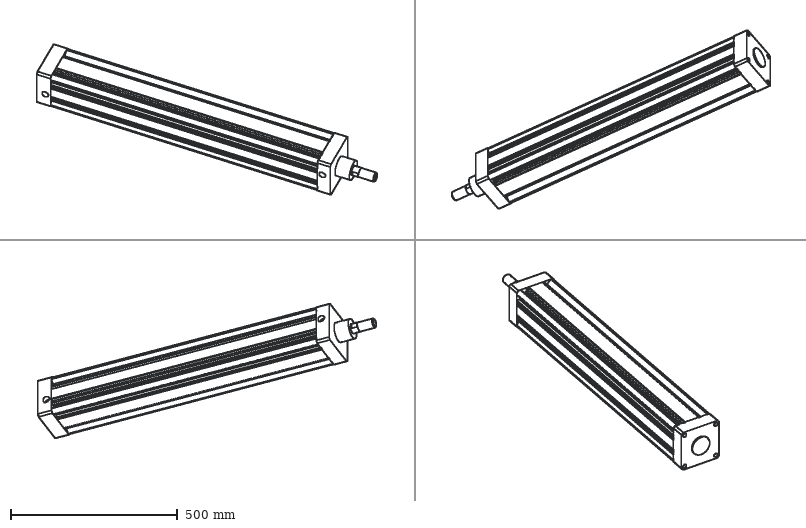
import cadquery as cq


TOTAL_LENGTH = 1085.0
REAR_CAP_START = 4.0
BARREL_START = 50.0
BARREL_END = 922.0
FRONT_CAP_END = 965.0
COLLAR_END = 1011.0
FLATS_START = 1016.0
FLATS_END = 1032.0
THREAD_START = 1034.0

WIDTH = 135.0
HALF_WIDTH = WIDTH / 2
CAP_CORNER_CHAMFER = 7.0
BOSS_DIAMETER = 62.0
BOLT_HOLE_OFFSET = 55.0
BOLT_HOLE_DIAMETER = 12.0
BOLT_HOLE_DEPTH = 11.0
PORT_DIAMETER = 21.0
PORT_DEPTH = 16.0
PORT_HEIGHT = 15.0
REAR_PORT_X = 33.0
FRONT_PORT_X = 939.0

CORNER_RADIUS = 13.0
TOP_GROOVE_DEPTH = 15.0
SIDE_GROOVE_DEPTH = 13.0
GROOVE_FLOOR_WIDTH = 3.0
INNER_FLANK_SIZE = 3.0
SIDE_SLOT_CENTER = 23.0
SIDE_SLOT_WIDTH = 11.0
SLOT_DEPTH = 1.6
STEP_DEPTH = 3.0
TOP_PANEL_HALF_WIDTH = 25.0

ROD_DIAMETER = 30.0
FLATS_WIDTH = 26.0
THREAD_DIAMETER = 29.0
TIP_CHAMFER = 3.0


def x_cylinder(diameter, start, end):
    """Cylinder on the X axis between two stations."""
    return cq.Workplane("YZ", origin=(start, 0, 0)).circle(diameter / 2).extrude(end - start)


def cap_block(start, end):
    """Square cap with chamfered long edges."""
    block = cq.Workplane("YZ", origin=(start, 0, 0)).rect(WIDTH, WIDTH).extrude(end - start)
    return block.edges("|X").chamfer(CAP_CORNER_CHAMFER)


def air_port(x, z):
    """Blind port entering the -Y side of a cap."""
    return cq.Workplane("XZ", origin=(x, -HALF_WIDTH, z)).circle(PORT_DIAMETER / 2).extrude(-PORT_DEPTH)


def make_rear_cap():
    cap = cap_block(REAR_CAP_START, BARREL_START)
    cap = cap.union(x_cylinder(BOSS_DIAMETER, 0, REAR_CAP_START))
    bolt_holes = (
        cq.Workplane("YZ", origin=(REAR_CAP_START, 0, 0))
        .rect(2 * BOLT_HOLE_OFFSET, 2 * BOLT_HOLE_OFFSET, forConstruction=True)
        .vertices()
        .circle(BOLT_HOLE_DIAMETER / 2)
        .extrude(BOLT_HOLE_DEPTH)
    )
    return cap.cut(bolt_holes).cut(air_port(REAR_PORT_X, -PORT_HEIGHT))


def make_front_cap():
    cap = cap_block(BARREL_END, FRONT_CAP_END)
    cap = cap.union(x_cylinder(BOSS_DIAMETER, FRONT_CAP_END, COLLAR_END))
    rod_bore = x_cylinder(ROD_DIAMETER, BARREL_END, COLLAR_END)
    return cap.cut(rod_bore).cut(air_port(FRONT_PORT_X, PORT_HEIGHT))


def barrel_prism(points):
    """Closed outline in the YZ plane, run along the whole barrel."""
    outline = cq.Workplane("YZ", origin=(BARREL_START, 0, 0)).polyline(points).close()
    return outline.extrude(BARREL_END - BARREL_START)


def corner_groove(depth):
    """Groove beside a rounded corner: 45 degree flanks, with a wall above the inner one."""
    outer = HALF_WIDTH - CORNER_RADIUS
    floor_outer = outer - depth
    floor_inner = floor_outer - GROOVE_FLOOR_WIDTH
    wall = floor_inner - INNER_FLANK_SIZE
    floor = HALF_WIDTH - depth
    return barrel_prism([
        (outer, HALF_WIDTH),
        (floor_outer, floor),
        (floor_inner, floor),
        (wall, floor + INNER_FLANK_SIZE),
        (wall, HALF_WIDTH),
    ])


def side_slot():
    """Shallow slot with 45 degree flanks."""
    inner = SIDE_SLOT_CENTER - SIDE_SLOT_WIDTH / 2
    outer = SIDE_SLOT_CENTER + SIDE_SLOT_WIDTH / 2
    floor = HALF_WIDTH - SLOT_DEPTH
    return barrel_prism([
        (inner, HALF_WIDTH),
        (inner + SLOT_DEPTH, floor),
        (outer - SLOT_DEPTH, floor),
        (outer, HALF_WIDTH),
    ])


def panel_step():
    """Shallow step from the raised middle panel down to the corner groove."""
    floor = HALF_WIDTH - STEP_DEPTH
    groove_floor_edge = HALF_WIDTH - CORNER_RADIUS - TOP_GROOVE_DEPTH
    return barrel_prism([
        (TOP_PANEL_HALF_WIDTH, HALF_WIDTH),
        (TOP_PANEL_HALF_WIDTH, floor),
        (groove_floor_edge, floor),
        (groove_floor_edge, HALF_WIDTH),
    ])


def make_barrel():
    barrel = cq.Workplane("YZ", origin=(BARREL_START, 0, 0)).rect(WIDTH, WIDTH)
    barrel = barrel.extrude(BARREL_END - BARREL_START).edges("|X").fillet(CORNER_RADIUS)
    top_cuts = [corner_groove(TOP_GROOVE_DEPTH), panel_step()]
    side_cuts = [corner_groove(SIDE_GROOVE_DEPTH), side_slot()]
    for face_angle, cuts in ((0, top_cuts), (90, side_cuts), (180, top_cuts), (270, side_cuts)):
        for cutter in cuts:
            for half in (cutter, cutter.mirror("XZ")):
                barrel = barrel.cut(half.rotate((0, 0, 0), (1, 0, 0), face_angle))
    return barrel


def make_rod():
    shank = x_cylinder(ROD_DIAMETER, BARREL_END, THREAD_START)
    flats_length = FLATS_END - FLATS_START
    flats = (
        cq.Workplane("XY", origin=((FLATS_START + FLATS_END) / 2, 0, 0))
        .pushPoints([(0, FLATS_WIDTH), (0, -FLATS_WIDTH)])
        .box(flats_length, FLATS_WIDTH, ROD_DIAMETER)
    )
    thread = x_cylinder(THREAD_DIAMETER, THREAD_START, TOTAL_LENGTH).faces(">X").chamfer(TIP_CHAMFER)
    return shank.cut(flats).union(thread)


rear_cap = make_rear_cap()
barrel = make_barrel()
front_cap = make_front_cap()
rod = make_rod()

result = cq.Compound.makeCompound([rear_cap.val(), barrel.val(), front_cap.val(), rod.val()])